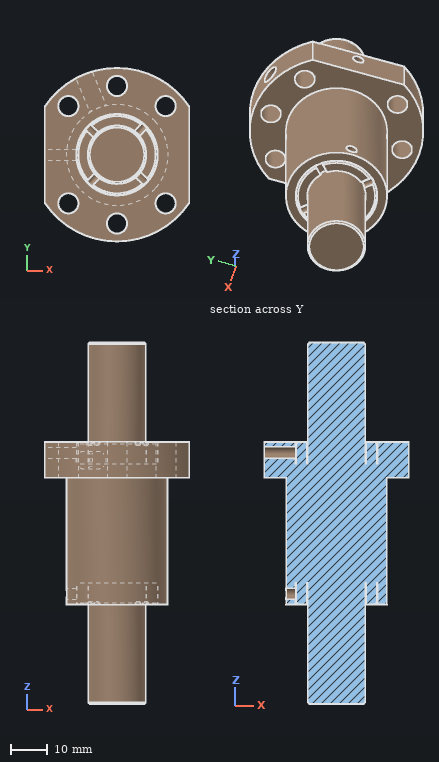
import cadquery as cq

shaft_diameter = 16.0
shaft_length = 100.0
shaft_chamfer = 0.5

nut_length = 45.0
nut_diameter = 28.0
flange_diameter = 48.0
flange_width = 40.0
flange_thickness = 10.0
nut_bottom = (shaft_length - nut_length) / 2
nut_top = nut_bottom + nut_length
flange_bottom = nut_top - flange_thickness

bolt_circle_diameter = 38.0
bolt_hole_diameter = 5.5
bolt_angles = (45, 90, 135, 225, 270, 315)
oil_port_diameter = 4.9
oil_port_angle = 112.5

wiper_bore = 16.2
wiper_diameter = 22.3
wiper_seat_diameter = 22.6
wiper_chamfer = 0.5
wiper_depth = 6.0
wiper_slot_diameter = 2.0
wiper_slot_count = 4
wiper_slot_start_angle = 46.5

pin_diameter = 3.0
pin_inset = 3.0


def cylinder(diameter, bottom, height):
    return cq.Workplane("XY").workplane(offset=bottom).circle(diameter / 2).extrude(height)


def radial_cylinder(diameter, angle, inner_radius, outer_radius, z):
    """Cylinder lying along a radius, at an angle counted from +X."""
    rod = cq.Workplane("YZ").workplane(offset=inner_radius).circle(diameter / 2)
    rod = rod.extrude(outer_radius - inner_radius)
    rod = rod.rotate((0, 0, 0), (1, 0, 0), 90)
    return rod.rotate((0, 0, 0), (0, 0, 1), angle).translate((0, 0, z))


def make_nut():
    flange = cylinder(flange_diameter, flange_bottom, flange_thickness)
    flats = cq.Workplane("XY").box(flange_width, flange_diameter, 2 * shaft_length)
    return cylinder(nut_diameter, nut_bottom, nut_length).union(flange.intersect(flats))


def cut_flange_holes(nut):
    for angle in bolt_angles:
        hole = cylinder(bolt_hole_diameter, flange_bottom, flange_thickness)
        hole = hole.translate((bolt_circle_diameter / 2, 0, 0))
        nut = nut.cut(hole.rotate((0, 0, 0), (0, 0, 1), angle))
    port_z = flange_bottom + flange_thickness / 2
    port = radial_cylinder(
        oil_port_diameter, oil_port_angle, nut_diameter / 2, flange_diameter / 2, port_z
    )
    return nut.cut(port)


def cut_pin_holes(nut):
    for z in (nut_bottom + pin_inset, nut_top - pin_inset):
        hole = radial_cylinder(pin_diameter, 180, shaft_diameter / 2, flange_width / 2, z)
        nut = nut.cut(hole)
    return nut


def make_wiper():
    """Chamfered, slotted ring whose outer face is at the top of the nut."""
    ring_bottom = nut_top - wiper_depth
    ring = cylinder(wiper_diameter, ring_bottom, wiper_depth).faces(">Z").chamfer(wiper_chamfer)
    ring = ring.cut(cylinder(wiper_bore, ring_bottom, wiper_depth))
    for index in range(wiper_slot_count):
        angle = wiper_slot_start_angle + index * 360 / wiper_slot_count
        slot = radial_cylinder(
            wiper_slot_diameter, angle, shaft_diameter / 4, wiper_seat_diameter / 2, nut_top
        )
        ring = ring.cut(slot)
    return ring


def fit_wipers(nut):
    middle = (0, 0, shaft_length / 2)
    wiper = make_wiper()
    seat = cylinder(wiper_seat_diameter, nut_top - wiper_depth, wiper_depth)
    nut = nut.cut(seat).cut(seat.mirror("XY", middle))
    return nut.union(wiper).union(wiper.mirror("XY", middle))


shaft = cylinder(shaft_diameter, 0, shaft_length).faces("<Z or >Z").chamfer(shaft_chamfer)
nut = fit_wipers(cut_pin_holes(cut_flange_holes(make_nut())))
result = nut.union(shaft)